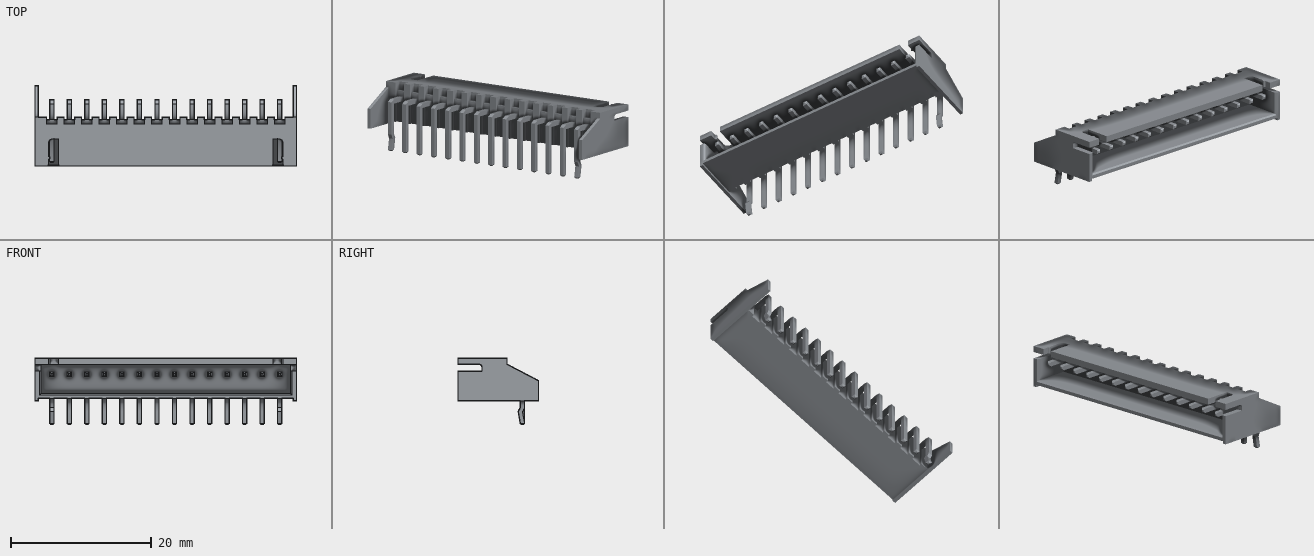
import cadquery as cq


PIN_COUNT = 14
PITCH = 2.5
PIN_SIZE = 0.64
PIN_DROP = 2.3
TIP_LENGTH = 0.2
TIP_SIZE = 0.25
PIN_FRONT_Y = 0.5
TAIL_Y = 9.2
BEND_BEVEL_HEIGHT = 0.35
TAIL_LENGTH = 3.4
KINK_START_Z = -0.95
KINK_PEAK_FRONT_Z = -1.5
KINK_PEAK_BACK_Z = -1.6
KINK_OFFSET = 0.3

LENGTH = 37.4
DEPTH = 11.5
HEIGHT = 6.1
BODY_DEPTH = 7.0
ROOF_THICKNESS = 0.9
STANDOFF = 0.35
FLOOR_THICKNESS = 0.7
WING_THICKNESS = 0.5
WING_REAR_HEIGHT = 2.9
WING_SHOULDER_Z = 5.25

CAVITY_DEPTH = 5.4
SIDE_WALL = 0.85
LEAD_IN = 0.2
SIDE_SLOT_DEPTH = 3.4
SIDE_SLOT_HEIGHT = 0.95
SIDE_SLOT_RADIUS = 0.35

KEY_SLOT_OFFSET = 1.95
KEY_SLOT_WIDTH = 1.45
KEY_SLOT_DEPTH = 3.9
KEY_SLOT_RADIUS = 0.65
BUMP_Y = 1.2
BUMP_RADIUS = 0.22

NOTCH_WIDTH = 1.5
NOTCH_FRONT_Y = 6.0
NOTCH_LEDGE_BACK_Y = 6.65
NOTCH_LEDGE_DROP = 1.2

PIN_Z = HEIGHT - PIN_DROP
PIN_XS = [(i - (PIN_COUNT - 1) / 2) * PITCH for i in range(PIN_COUNT)]
CAVITY_WIDTH = LENGTH - 2 * SIDE_WALL
CAVITY_FLOOR_Z = STANDOFF + FLOOR_THICKNESS
ROOF_UNDERSIDE_Z = HEIGHT - ROOF_THICKNESS


def box(x0, x1, y0, y1, z0, z1):
    return cq.Workplane("XY").box(x1 - x0, y1 - y0, z1 - z0, centered=False).translate((x0, y0, z0))


def wing():
    """Side plate at the left end, sloping down behind the body."""
    outline = [
        (0, 0),
        (DEPTH, 0),
        (DEPTH, WING_REAR_HEIGHT),
        (BODY_DEPTH, WING_SHOULDER_Z),
        (BODY_DEPTH, HEIGHT),
        (0, HEIGHT),
    ]
    plate = cq.Workplane("YZ").polyline(outline).close().extrude(WING_THICKNESS)
    return plate.translate((-LENGTH / 2, 0, 0))


def cavity():
    """Mating opening with a chamfered lead-in along the floor and both sides."""
    half = CAVITY_WIDTH / 2
    opening = box(-half, half, 0, CAVITY_DEPTH, CAVITY_FLOOR_Z, ROOF_UNDERSIDE_Z)
    mouth_height = ROOF_UNDERSIDE_Z - CAVITY_FLOOR_Z
    mouth = (
        cq.Workplane("XZ", origin=(0, 0, (CAVITY_FLOOR_Z + ROOF_UNDERSIDE_Z - LEAD_IN) / 2))
        .rect(CAVITY_WIDTH + 2 * LEAD_IN, mouth_height + LEAD_IN)
        .workplane(offset=-LEAD_IN)
        .center(0, LEAD_IN / 2)
        .rect(CAVITY_WIDTH, mouth_height)
        .loft(ruled=True)
    )
    return opening.union(mouth)


def side_slot():
    """Slot under the roof through the left side wall, open at the front."""
    slot = box(
        -LENGTH / 2,
        -CAVITY_WIDTH / 2,
        0,
        SIDE_SLOT_DEPTH,
        ROOF_UNDERSIDE_Z - SIDE_SLOT_HEIGHT,
        ROOF_UNDERSIDE_Z,
    )
    return slot.edges("|X and >Y and >Z").fillet(SIDE_SLOT_RADIUS)


def key_slot():
    """Left roof slot, rounded at its outer rear corner, with a detent bump on its outer wall."""
    x0 = -LENGTH / 2 + KEY_SLOT_OFFSET
    slot = box(x0, x0 + KEY_SLOT_WIDTH, 0, KEY_SLOT_DEPTH, ROOF_UNDERSIDE_Z, HEIGHT)
    slot = slot.edges("|Z and >Y and <X").fillet(KEY_SLOT_RADIUS)
    bump = (
        cq.Workplane("XY", origin=(x0, BUMP_Y, ROOF_UNDERSIDE_Z))
        .circle(BUMP_RADIUS)
        .extrude(ROOF_THICKNESS)
    )
    return slot.cut(bump)


def rear_notch(x):
    """Vertical channel in the rear face, topped by a deeper pocket that leaves a ledge."""
    x0 = x - NOTCH_WIDTH / 2
    x1 = x + NOTCH_WIDTH / 2
    channel = box(x0, x1, NOTCH_LEDGE_BACK_Y, BODY_DEPTH, 0, HEIGHT)
    pocket = box(x0, x1, NOTCH_FRONT_Y, BODY_DEPTH, HEIGHT - NOTCH_LEDGE_DROP, HEIGHT)
    return channel.union(pocket)


def both_ends(left):
    return left.union(left.mirror("YZ"))


def housing():
    half = LENGTH / 2
    body = box(-half, half, 0, BODY_DEPTH, STANDOFF, HEIGHT)
    body = body.union(both_ends(wing())).cut(cavity())
    body = body.cut(both_ends(side_slot())).cut(both_ends(key_slot()))
    for x in PIN_XS:
        body = body.cut(rear_notch(x))
    return body


def tip(direction, origin):
    """Tapered pin end, growing along the given direction."""
    return (
        cq.Workplane(cq.Plane(origin=origin, xDir=(1, 0, 0), normal=direction))
        .rect(PIN_SIZE, PIN_SIZE)
        .workplane(offset=TIP_LENGTH)
        .rect(TIP_SIZE, TIP_SIZE)
        .loft(ruled=True)
    )


def pin(x, kinked):
    """Right-angle pin with a bevelled outer bend; a kinked tail grips the board."""
    half = PIN_SIZE / 2
    shank_front_y = PIN_FRONT_Y + TIP_LENGTH
    tail_end_z = TIP_LENGTH - TAIL_LENGTH
    front_y = TAIL_Y - half
    back_y = TAIL_Y + half
    front_kink = []
    back_kink = []
    if kinked:
        front_kink = [(front_y, KINK_START_Z), (front_y - KINK_OFFSET, KINK_PEAK_FRONT_Z)]
        back_kink = [(back_y - KINK_OFFSET, KINK_PEAK_BACK_Z), (back_y, KINK_START_Z)]
    outline = [
        (shank_front_y, PIN_Z + half),
        (shank_front_y, PIN_Z - half),
        (front_y, PIN_Z - half),
        *front_kink,
        (front_y, tail_end_z),
        (back_y, tail_end_z),
        *back_kink,
        (back_y, PIN_Z + half - BEND_BEVEL_HEIGHT),
        (front_y, PIN_Z + half),
    ]
    bent = cq.Workplane("YZ", origin=(x - half, 0, 0)).polyline(outline).close().extrude(PIN_SIZE)
    mating_tip = tip((0, -1, 0), (x, shank_front_y, PIN_Z))
    tail_tip = tip((0, 0, -1), (x, TAIL_Y, tail_end_z))
    return bent.union(mating_tip).union(tail_tip)


result = housing()
for x in PIN_XS:
    result = result.union(pin(x, kinked=x in (PIN_XS[0], PIN_XS[-1])))